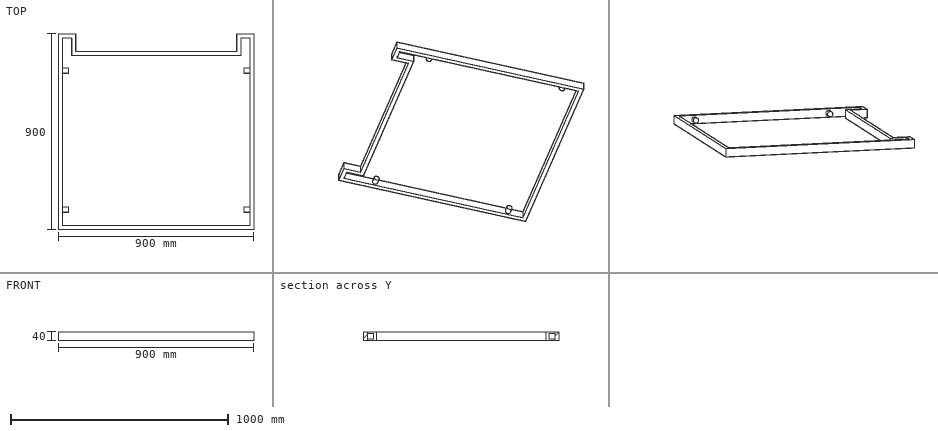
import cadquery as cq

side = 900.0
height = 40.0
bar = 20.0

recess_depth = 80.0
tab_width = 80.0

peg_diameter = 25.0
peg_length = 27.0
peg_front_offset = 92.0
peg_spacing = 640.0
peg_height = height / 2


def frame_outline(inset):
    """Closed recessed-back outline, moved inward from the outer faces."""
    outer = side / 2 - inset
    shoulder = side / 2 - tab_width + inset
    recess = side / 2 - recess_depth - inset
    return [
        (-outer, -outer),
        (outer, -outer),
        (outer, outer),
        (shoulder, outer),
        (shoulder, recess),
        (-shoulder, recess),
        (-shoulder, outer),
        (-outer, outer),
    ]


def prism(inset):
    return cq.Workplane("XY").polyline(frame_outline(inset)).close().extrude(height)


def peg(hand, y):
    """Round peg pointing inward; hand is -1 for the left bar and 1 for the right."""
    start = cq.Vector(hand * (side / 2 - bar / 2), y, peg_height)
    inward = cq.Vector(-hand, 0, 0)
    return cq.Solid.makeCylinder(peg_diameter / 2, bar / 2 + peg_length, start, inward)


result = prism(0).cut(prism(bar))
front_peg_y = -side / 2 + peg_front_offset
for hand in (-1, 1):
    for y in (front_peg_y, front_peg_y + peg_spacing):
        result = result.union(cq.Workplane(peg(hand, y)))